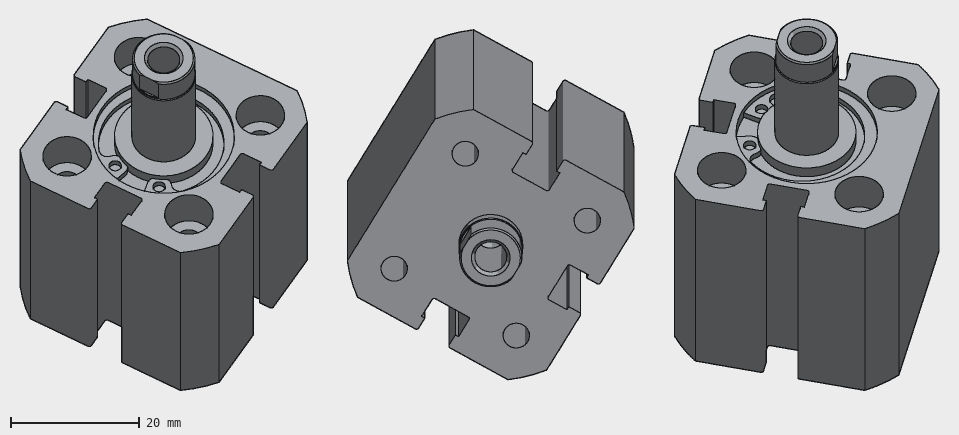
import cadquery as cq
import math


WIDTH = 36.0
HEIGHT = 37.0
CORNER_RADIUS = 22.5

SLOT_DEPTH = 5.9
SLOT_HALF_WIDTH = 3.3
SLOT_LIP = 2.3
SLOT_MOUTH_HALF_WIDTH = 2.75
SLOT_ROUND = 0.4
SLOT_TURNS = (-90, 0, 90)

MOUNT_OFFSET = 11.0
MOUNT_RADIUS = 2.05
MOUNT_COUNTERBORE_RADIUS = 3.8
MOUNT_COUNTERBORE_DEPTH = 7.0

BORE_RADIUS = 11.0
FLANGE_HEIGHT = 6.0
BOSS_RADIUS = 7.7
BOSS_HEIGHT = 2.0
RING_THICKNESS = 1.0
RING_OPENING_RADIUS = 9.8
RING_OPENING_SHIFT = 0.8
RING_GAP_HALF_ANGLE = 13.5
LUG_X = 4.0
LUG_Y = -8.2
LUG_RADIUS = 2.0
LUG_HOLE_RADIUS = 0.95
LUG_BLEND_RADIUS = 1.3

ROD_RADIUS = 5.0
ROD_LENGTH = 64.0
ROD_BELOW_HOUSING = 6.15
TIP_RADIUS = 4.85
TIP_LENGTH = 4.3
TIP_CHAMFER = 0.25
STEP_TAPER = 0.2
FLAT_DISTANCE = 4.55
FLAT_LENGTH = 4.0
SOCKET_RADIUS = 2.5
SOCKET_DEPTH = 11.5
SOCKET_MOUTH_RADIUS = 3.0
DRILL_POINT_ANGLE = 118.0

FLANGE_TOP = HEIGHT - BOSS_HEIGHT
FLANGE_BOTTOM = FLANGE_TOP - FLANGE_HEIGHT


def cylinder(radius, bottom, height):
    return cq.Workplane("XY").workplane(offset=bottom).circle(radius).extrude(height)


def slot_cutter():
    """Lipped slot in the -Y side, with rounded mouth and floor corners."""
    face = -WIDTH / 2
    floor = face + SLOT_DEPTH
    lip = face + SLOT_LIP
    half_outline = (
        cq.Workplane("XY")
        .moveTo(0, floor)
        .lineTo(SLOT_HALF_WIDTH - SLOT_ROUND, floor)
        .radiusArc((SLOT_HALF_WIDTH, floor - SLOT_ROUND), SLOT_ROUND)
        .lineTo(SLOT_HALF_WIDTH, lip)
        .lineTo(SLOT_MOUTH_HALF_WIDTH, lip)
        .lineTo(SLOT_MOUTH_HALF_WIDTH, face + SLOT_ROUND)
        .radiusArc((SLOT_MOUTH_HALF_WIDTH + SLOT_ROUND, face), -SLOT_ROUND)
        .lineTo(0, face)
    )
    return half_outline.mirrorY().extrude(HEIGHT)


def make_housing():
    body = cq.Workplane("XY").rect(WIDTH, WIDTH).extrude(HEIGHT)
    body = body.intersect(cylinder(CORNER_RADIUS, 0, HEIGHT))

    for turn in SLOT_TURNS:
        body = body.cut(slot_cutter().rotate((0, 0, 0), (0, 0, 1), turn))

    body = (
        body.faces(">Z").workplane(origin=(0, 0, HEIGHT))
        .rect(2 * MOUNT_OFFSET, 2 * MOUNT_OFFSET, forConstruction=True)
        .vertices()
        .cboreHole(2 * MOUNT_RADIUS, 2 * MOUNT_COUNTERBORE_RADIUS, MOUNT_COUNTERBORE_DEPTH)
    )

    body = body.cut(cylinder(BORE_RADIUS, FLANGE_BOTTOM, HEIGHT - FLANGE_BOTTOM))
    return body.cut(cylinder(ROD_RADIUS, 0, HEIGHT))


def make_collar():
    flange = cylinder(BORE_RADIUS, FLANGE_BOTTOM, FLANGE_HEIGHT)
    boss = cylinder(BOSS_RADIUS, FLANGE_TOP, BOSS_HEIGHT)
    return flange.union(boss).cut(cylinder(ROD_RADIUS, FLANGE_BOTTOM, HEIGHT - FLANGE_BOTTOM))


def wedge(half_angle):
    """Triangular prism from the axis toward -Y that covers the retaining ring in that sector."""
    reach = 2 * BORE_RADIUS
    half_width = reach * math.tan(math.radians(half_angle))
    return (
        cq.Workplane("XY").workplane(offset=FLANGE_TOP)
        .polyline([(0, 0), (-half_width, -reach), (half_width, -reach)])
        .close()
        .extrude(RING_THICKNESS)
    )


def make_retaining_ring():
    plane = cq.Workplane("XY").workplane(offset=FLANGE_TOP)
    lug_centres = [(-LUG_X, LUG_Y), (LUG_X, LUG_Y)]
    lug_distance = math.hypot(LUG_X, LUG_Y)
    lug_angle = math.degrees(math.atan2(LUG_X, -LUG_Y))

    disc = cylinder(BORE_RADIUS, FLANGE_TOP, RING_THICKNESS)
    opening = plane.center(0, -RING_OPENING_SHIFT).circle(RING_OPENING_RADIUS).extrude(RING_THICKNESS)

    lugs = plane.pushPoints(lug_centres).circle(LUG_RADIUS).extrude(RING_THICKNESS).intersect(disc)
    roots = disc.intersect(wedge(lug_angle)).cut(cylinder(lug_distance, FLANGE_TOP, RING_THICKNESS))
    ring = disc.cut(opening).union(lugs).union(roots).cut(wedge(RING_GAP_HALF_ANGLE))

    ring = ring.edges("|Z").edges("<X or >X").fillet(LUG_BLEND_RADIUS)

    lug_holes = plane.pushPoints(lug_centres).circle(LUG_HOLE_RADIUS).extrude(RING_THICKNESS)
    return ring.cut(lug_holes).cut(cylinder(BOSS_RADIUS, FLANGE_TOP, RING_THICKNESS))


def rod_end_trim():
    """Material removed from the upper end of the rod, with the end face at Z = 0."""
    blank = cylinder(ROD_RADIUS, -TIP_LENGTH - STEP_TAPER, TIP_LENGTH + STEP_TAPER)

    tip_profile = [
        (0, 0),
        (TIP_RADIUS - TIP_CHAMFER, 0),
        (TIP_RADIUS, -TIP_CHAMFER),
        (TIP_RADIUS, -TIP_LENGTH),
        (ROD_RADIUS, -TIP_LENGTH - STEP_TAPER),
        (0, -TIP_LENGTH - STEP_TAPER),
    ]
    tip = cq.Workplane("XZ").polyline(tip_profile).close().revolve(360, (0, 0), (0, 1))

    flats = (
        cylinder(ROD_RADIUS, -FLAT_LENGTH, FLAT_LENGTH)
        .cut(cq.Workplane("XY").box(2 * ROD_RADIUS, 2 * FLAT_DISTANCE, 2 * FLAT_LENGTH))
    )

    mouth_depth = SOCKET_MOUTH_RADIUS - SOCKET_RADIUS
    point_depth = SOCKET_RADIUS / math.tan(math.radians(DRILL_POINT_ANGLE / 2))
    socket_profile = [
        (0, 0),
        (SOCKET_MOUTH_RADIUS, 0),
        (SOCKET_RADIUS, -mouth_depth),
        (SOCKET_RADIUS, -SOCKET_DEPTH),
        (0, -SOCKET_DEPTH - point_depth),
    ]
    socket = cq.Workplane("XZ").polyline(socket_profile).close().revolve(360, (0, 0), (0, 1))

    return blank.cut(tip).union(flats).union(socket)


def make_rod():
    bottom = -ROD_BELOW_HOUSING
    top = bottom + ROD_LENGTH
    trim = rod_end_trim()
    upper_trim = trim.translate((0, 0, top))
    lower_trim = trim.rotate((0, 0, 0), (1, 0, 0), 180).translate((0, 0, bottom))
    return cylinder(ROD_RADIUS, bottom, ROD_LENGTH).cut(upper_trim).cut(lower_trim)


housing = make_housing()
collar = make_collar()
retaining_ring = make_retaining_ring()
rod = make_rod()

result = cq.Compound.makeCompound([housing.val(), collar.val(), retaining_ring.val(), rod.val()])